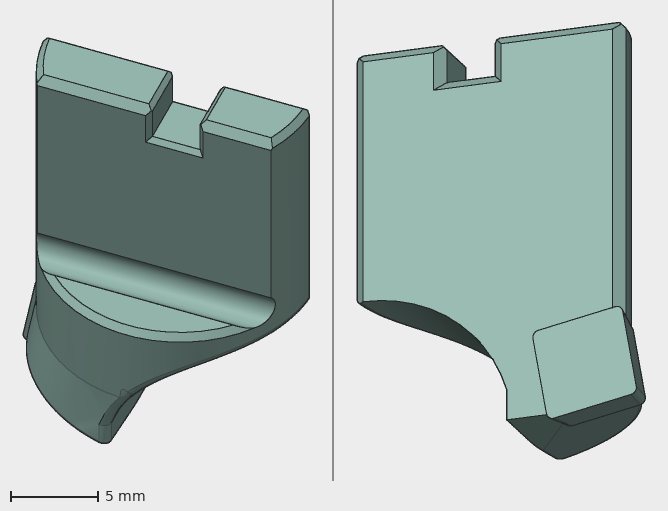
import cadquery as cq
import math


BAR_RADIUS = 8.25
SHANK_TOP = 19.05
BACK_CHAMFER = 0.6
RIM_CHAMFER = 0.4

TONGUE_THICKNESS = 4.0
TONGUE_FRONT_CHAMFER = 0.5
SHOULDER_Z = 5.5
GROOVE_RADIUS = 1.04
GROOVE_Y = -4.75
GROOVE_Z = 6.13

SLOT_WIDTH = 2.95
SLOT_DEPTH = 2.3
SLOT_X = 1.25
SLOT_CHAMFER = 0.3

LEAN_ANGLE = 10.0
RELIEF_ANGLE = 7.0
NOSE_LOFT_DEPTH = 7.0
NOSE_FLOOR_Z = -4.6
NOSE_RIM_TOP_Z = -3.5
NOSE_RIGHT_X = -1.16
UNDERCUT_RADIUS = 9.2
UNDERCUT_X = 7.65
UNDERCUT_TOP_Z = 3.78
UNDERCUT_Z = UNDERCUT_TOP_Z - UNDERCUT_RADIUS
UNDERCUT_FILLET = 0.5
NOSE_BOTTOM_FILLET = 0.2

INSERT_SIDE = 5.58
INSERT_THICKNESS = 2.38
INSERT_CORNER_RADIUS = 0.4
INSERT_SEAT_DEPTH = 2.0
INSERT_PROTRUSION = INSERT_THICKNESS - INSERT_SEAT_DEPTH
INSERT_X = -6.07
INSERT_Z = -1.86
INSERT_OVERHANG = 0.2

BIG = 40.0
EDGE_MARGIN = 0.1


def half_round_profile(sketch):
    """Half disc on the -Y side, with both corners of its flat back chamfered."""
    corner_x = math.sqrt(BAR_RADIUS**2 - BACK_CHAMFER**2)
    back_x = corner_x - BACK_CHAMFER
    return (
        sketch.moveTo(-back_x, 0)
        .lineTo(-corner_x, -BACK_CHAMFER)
        .threePointArc((0, -BAR_RADIUS), (corner_x, -BACK_CHAMFER))
        .lineTo(back_x, 0)
        .close()
    )


def side_prism(points):
    """Prism along X from a (Y, Z) outline, longer than the holder is wide."""
    return cq.Workplane("YZ").polyline(points).close().extrude(BIG / 2, both=True)


def make_shank():
    """Straight half-round shank with its tongue, shoulder and relief groove."""
    shank = half_round_profile(cq.Workplane("XY")).extrude(SHANK_TOP)

    top_space = cq.Workplane("XY").box(BIG, BIG, BIG, centered=(True, False, False))
    top_space = top_space.translate((0, -TONGUE_THICKNESS - BIG, SHOULDER_Z))
    shank = shank.cut(top_space)

    groove = cq.Workplane("YZ").center(GROOVE_Y, GROOVE_Z).circle(GROOVE_RADIUS).extrude(BIG / 2, both=True)
    shank = shank.cut(groove)

    return shank.faces("|Z and (not <Z)").edges("%CIRCLE").chamfer(RIM_CHAMFER)


def bevel_tongue_top(y_face, inward, size):
    """Prism that bevels a long top edge of the tongue; inward is the Y direction into the tongue."""
    return side_prism([
        (y_face, SHANK_TOP - size),
        (y_face + inward * size, SHANK_TOP),
        (y_face, SHANK_TOP),
    ])


def make_slot_cutter():
    """Key slot through the tongue, flared at the front, at the back and at the top."""
    half = SLOT_WIDTH / 2
    floor_z = SHANK_TOP - SLOT_DEPTH

    def opening(grow, y):
        """Slot outline at depth y, grown at its sides and floor."""
        return (
            cq.Workplane("XZ", origin=(SLOT_X, y, 0))
            .moveTo(-half - grow, floor_z - grow)
            .lineTo(half + grow, floor_z - grow)
            .lineTo(half + grow, BIG)
            .lineTo(-half - grow, BIG)
            .close()
        )

    def flare(y_face, inward, size):
        """Bevel of the slot edges where they meet a face of the tongue."""
        wide = opening(size, y_face).wires().val()
        narrow = opening(0, y_face + inward * size).wires().val()
        return cq.Workplane(cq.Solid.makeLoft([wide, narrow], True))

    slot = opening(0, 0).extrude(TONGUE_THICKNESS)
    slot = slot.union(flare(-TONGUE_THICKNESS, 1, SLOT_CHAMFER))
    slot = slot.union(flare(0, -1, BACK_CHAMFER))
    top_flare = (
        cq.Workplane("XZ", origin=(SLOT_X, 0, 0))
        .moveTo(-half, SHANK_TOP - SLOT_CHAMFER)
        .lineTo(half, SHANK_TOP - SLOT_CHAMFER)
        .lineTo(half + SLOT_CHAMFER, SHANK_TOP)
        .lineTo(-half - SLOT_CHAMFER, SHANK_TOP)
        .close()
        .extrude(TONGUE_THICKNESS)
    )
    return slot.union(top_flare)


def make_nose():
    """Half-round bar leaning to -X as it goes down."""
    shift = NOSE_LOFT_DEPTH * math.tan(math.radians(LEAN_ANGLE))
    upper = half_round_profile(cq.Workplane("XY")).wires().val()
    lower = upper.translate(cq.Vector(-shift, 0, -NOSE_LOFT_DEPTH))
    return cq.Workplane(cq.Solid.makeLoft([upper, lower], True))


def undercut_point(angle):
    """Point (X, Z) on the undercut arc, with the angle in radians from +X."""
    return (
        UNDERCUT_X + UNDERCUT_RADIUS * math.cos(angle),
        UNDERCUT_Z + UNDERCUT_RADIUS * math.sin(angle),
    )


def make_undercut():
    """Space below the concave arc that narrows the nose."""
    start_angle = math.acos((NOSE_RIGHT_X - UNDERCUT_X) / UNDERCUT_RADIUS)
    end_angle = math.acos((BAR_RADIUS - UNDERCUT_X) / UNDERCUT_RADIUS)
    arc_end = undercut_point(end_angle)
    return (
        cq.Workplane("XZ")
        .moveTo(NOSE_RIGHT_X, -BIG)
        .lineTo(*undercut_point(start_angle))
        .threePointArc(undercut_point((start_angle + end_angle) / 2), arc_end)
        .lineTo(BIG, arc_end[1])
        .lineTo(BIG, -BIG)
        .close()
        .extrude(BIG / 2, both=True)
    )


def place_at_insert(body):
    """Move a body modelled about the insert's cutting face to its tilted place in the nose."""
    return body.rotate((0, 0, 0), (0, 1, 0), LEAN_ANGLE).translate((INSERT_X, INSERT_PROTRUSION, INSERT_Z))


def make_insert():
    """Square insert with rounded corners, tapering away from its cutting face at +Y."""
    insert = cq.Workplane("XZ").rect(INSERT_SIDE, INSERT_SIDE).extrude(INSERT_THICKNESS, taper=RELIEF_ANGLE)
    insert = insert.edges("not(|X or |Z)").fillet(INSERT_CORNER_RADIUS)
    return place_at_insert(insert)


def make_nose_relief():
    """Space below the nose's bottom face, which runs parallel to the insert's lower flank."""
    slope = math.tan(math.radians(RELIEF_ANGLE))
    top_z = INSERT_OVERHANG - INSERT_SIDE / 2
    return place_at_insert(side_prism([
        (BIG, top_z - BIG * slope),
        (-BIG, top_z + BIG * slope),
        (-BIG, -BIG),
        (BIG, -BIG),
    ]))


def make_holder(insert):
    """Shank and leaning nose in one solid, with a seat that fits the insert."""
    holder = make_shank()
    holder = holder.cut(bevel_tongue_top(-TONGUE_THICKNESS, 1, TONGUE_FRONT_CHAMFER))
    holder = holder.cut(bevel_tongue_top(0, -1, BACK_CHAMFER))
    holder = holder.cut(make_slot_cutter())
    holder = holder.union(make_nose())

    holder = holder.cut(make_undercut())
    undercut_edges = cq.selectors.BoxSelector(
        (NOSE_RIGHT_X - EDGE_MARGIN, -BIG, -NOSE_LOFT_DEPTH + EDGE_MARGIN),
        (BIG, -TONGUE_THICKNESS, SHOULDER_Z - RIM_CHAMFER - EDGE_MARGIN),
    )
    holder = holder.edges(undercut_edges).edges("not |Y").fillet(UNDERCUT_FILLET)

    below_floor = cq.Workplane("XY").box(BIG, BIG, BIG, centered=(True, True, False))
    below_floor = below_floor.translate((0, 0, NOSE_FLOOR_Z - BIG))
    holder = holder.cut(below_floor).cut(make_nose_relief())
    bottom_rim = cq.selectors.BoxSelector(
        (-BIG, -BAR_RADIUS, NOSE_FLOOR_Z),
        (NOSE_RIGHT_X - EDGE_MARGIN, -TONGUE_THICKNESS, NOSE_RIM_TOP_Z),
    )
    holder = holder.edges(bottom_rim).fillet(NOSE_BOTTOM_FILLET)

    return holder.cut(insert)


insert = make_insert()
holder = make_holder(insert)

result = cq.Compound.makeCompound([holder.val(), insert.val()])